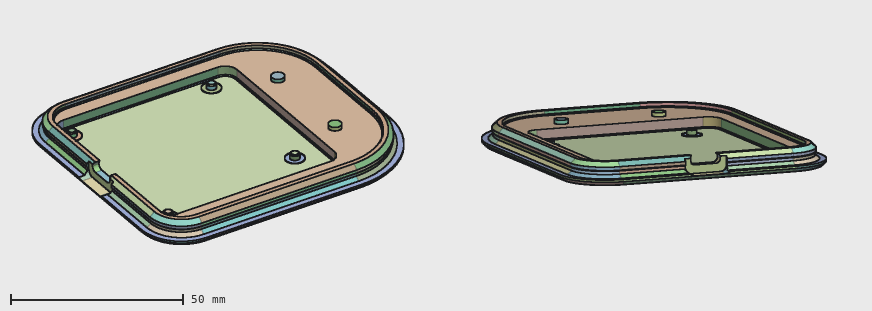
import cadquery as cq

LENGTH = 93.2
WIDTH = 82.4
HEIGHT = 6.4
BACK_RADIUS = 26.1
FRONT_RADIUS = 13.9

FLANGE_CHAMFER = 1.1
FLANGE_TOP = 1.8
FOOT_INSET = 2.0
GROOVE_BOTTOM = 2.8
GROOVE_TOP = 3.7
GROOVE_INSET = 3.3
LIP_BOTTOM = 4.0
LIP_TOP = 5.0
LIP_INSET = 3.0
CREST_INSET = 4.5

SHELF_Z = 5.0
SHELF_INSET = 6.0
FOOT_BEVEL = 0.4

POCKET_WIDTH = 60.4
POCKET_BACK = 20.4
POCKET_FRONT = SHELF_INSET - LENGTH / 2
POCKET_FLOOR = 1.8
POCKET_RADIUS = 4.0

PEG_DIAMETER = 4.0
PEG_HEIGHT = 1.2
PEG_X = 15.4
PEG_Y = 27.6

PIN_DIAMETER = 3.0
PIN_HEIGHT = 2.0
PIN_CHAMFER = 0.4
PAD_DIAMETER = 6.0
PAD_HEIGHT = 0.2
PIN_LEFT = -26.0
PIN_BACK_RIGHT = 18.9
PIN_FRONT_RIGHT = 25.8
PIN_BACK = 11.6
PIN_FRONT = -36.35

PLUG_WIDTH = 13.1
PLUG_FLOOR = 1.2
PLUG_RADIUS = 1.8
PLUG_DEPTH = 3.7
PORT_WIDTH = 9.4
PORT_HEIGHT = 3.1
PORT_FLOOR = 3.7
PORT_RADIUS = 1.5


def plate_wire(z, inset):
    """Plate outline moved inward by inset: large back corners, small front ones."""
    x = WIDTH / 2 - inset
    y = LENGTH / 2 - inset
    back = BACK_RADIUS - inset
    front = FRONT_RADIUS - inset
    diagonal = 0.5 ** 0.5

    def bulge(radius):
        return radius * (1 - diagonal)

    return (
        cq.Workplane("XY", origin=(0, 0, z))
        .moveTo(front - x, -y)
        .lineTo(x - front, -y)
        .threePointArc((x - bulge(front), bulge(front) - y), (x, front - y))
        .lineTo(x, y - back)
        .threePointArc((x - bulge(back), y - bulge(back)), (x - back, y))
        .lineTo(back - x, y)
        .threePointArc((bulge(back) - x, y - bulge(back)), (-x, y - back))
        .lineTo(-x, front - y)
        .threePointArc((bulge(front) - x, bulge(front) - y), (front - x, -y))
        .close()
        .val()
    )


def stacked_plate(levels):
    """Solid with straight walls between plate outlines given as (z, inset) levels."""
    solid = cq.Workplane("XY")
    for (z, inset), (next_z, next_inset) in zip(levels, levels[1:]):
        wires = [plate_wire(z, inset), plate_wire(next_z, next_inset)]
        solid = solid.add(cq.Solid.makeLoft(wires, True))
    return solid.combine()


def block(width, front, back, bottom, top):
    """Box centred on X between the given Y and Z limits."""
    return (
        cq.Workplane("XY")
        .box(width, back - front, top - bottom, centered=(True, False, False))
        .translate((0, front, bottom))
    )


def body():
    flange = stacked_plate([
        (0, FLANGE_CHAMFER),
        (FLANGE_CHAMFER, 0),
        (FLANGE_TOP, 0),
    ])
    wall = stacked_plate([
        (FLANGE_TOP, FOOT_INSET),
        (GROOVE_BOTTOM, GROOVE_INSET),
        (GROOVE_TOP, GROOVE_INSET),
        (LIP_BOTTOM, LIP_INSET),
        (LIP_TOP, LIP_INSET),
        (HEIGHT, CREST_INSET),
    ])
    cavity = stacked_plate([
        (SHELF_Z, SHELF_INSET + FOOT_BEVEL),
        (SHELF_Z + FOOT_BEVEL, SHELF_INSET),
        (HEIGHT, SHELF_INSET),
    ])
    return flange.union(wall).cut(cavity)


def pocket():
    return (
        block(POCKET_WIDTH, POCKET_FRONT, POCKET_BACK, POCKET_FLOOR, HEIGHT)
        .edges("|Z")
        .fillet(POCKET_RADIUS)
        .faces("<Z")
        .chamfer(FOOT_BEVEL)
    )


def pegs():
    return (
        cq.Workplane("XY", origin=(0, 0, SHELF_Z))
        .pushPoints([(-PEG_X, PEG_Y), (PEG_X, PEG_Y)])
        .circle(PEG_DIAMETER / 2)
        .extrude(PEG_HEIGHT)
    )


def pins():
    places = [
        (PIN_LEFT, PIN_BACK),
        (PIN_BACK_RIGHT, PIN_BACK),
        (PIN_LEFT, PIN_FRONT),
        (PIN_FRONT_RIGHT, PIN_FRONT),
    ]
    floor = cq.Workplane("XY", origin=(0, 0, POCKET_FLOOR)).pushPoints(places)
    pads = floor.circle(PAD_DIAMETER / 2).extrude(PAD_HEIGHT)
    posts = floor.circle(PIN_DIAMETER / 2).extrude(PIN_HEIGHT).faces(">Z").chamfer(PIN_CHAMFER)
    return pads.union(posts)


def connector_opening():
    front = -LENGTH / 2
    plug = (
        block(PLUG_WIDTH, front, front + PLUG_DEPTH, PLUG_FLOOR, HEIGHT)
        .edges("|Y and <Z")
        .fillet(PLUG_RADIUS)
    )
    port = (
        block(PORT_WIDTH, front, POCKET_FRONT + FOOT_BEVEL, PORT_FLOOR, PORT_FLOOR + PORT_HEIGHT)
        .edges("|Y")
        .fillet(PORT_RADIUS)
    )
    return plug.union(port)


result = (
    body()
    .cut(pocket())
    .union(pegs())
    .union(pins())
    .cut(connector_opening())
)